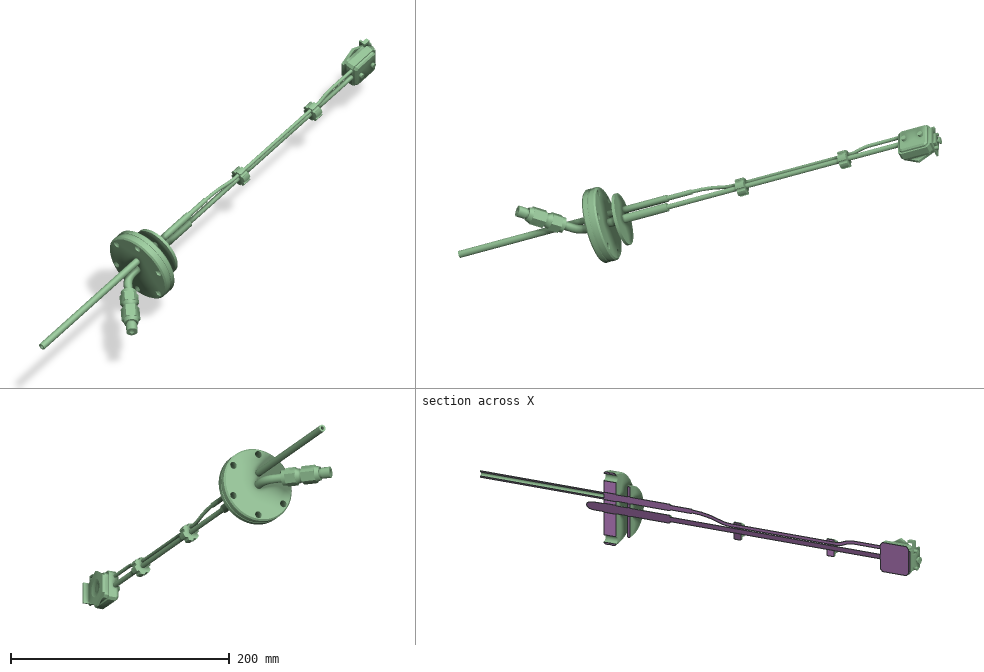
import cadquery as cq
import math

HEX_SIDES = 6

FLANGE_DIAMETER = 69.0
FLANGE_THICKNESS = 13.0
FLANGE_CHAMFER = 1.5
RIM_GROOVE_WIDTH = 2.0
RIM_GROOVE_DEPTH = 0.5
BOLT_COUNT = 6
BOLT_HOLE_DIAMETER = 6.5
BOLT_CIRCLE_DIAMETER = 58.5

SHIELD_DIAMETER = 48.5
SHIELD_THICKNESS = 3.0
SHIELD_START_Y = 25.3

HEAD_END_Y = 297.0
SLEEVE_END_Y = 71.0
CONDUIT_ROD_DIAMETER = 4.5
CONDUIT_SLEEVE_DIAMETER = 8.0
ELBOW_CORNER_Y = -14.0
ELBOW_TANGENT_LENGTH = 8.0
ELBOW_ANGLE = 45

FITTING_START = 17.5
COLLAR_DIAMETER = 14.5
FIRST_HEX_START = 21.0
FIRST_HEX_END = 31.0
FIRST_HEX_TAPER_END = 34.5
SECOND_HEX_START = 36.5
SECOND_HEX_END = 49.5
SECOND_HEX_TAPER_END = 53.5
TIP_START = 55.0
TIP_END = 63.0
HEX_ACROSS_FLATS = 15.0
HEX_TAPER_END_DIAMETER = 12.5
FITTING_NECK_DIAMETER = 12.5
TIP_NECK_DIAMETER = 9.0
TIP_DIAMETER = 10.5
TIP_BORE_DIAMETER = 4.5

AIR_TUBE_Z = 11.0
AIR_TUBE_DIAMETER = 6.5
AIR_BORE_DIAMETER = 3.3
AIR_TUBE_FRONT_Y = -133.0
THIN_TUBE_DIAMETER = 3.3
SOCKET_DIAMETER = 4.65
SOCKET_END_Y = 94.5
LOW_RUN_Z = 4.5
FRONT_BEND_MIDDLE_Y = 124.5
FRONT_BEND_END_Y = 135.5
HEAD_BEND_START_Y = 250.2
HEAD_BEND_MIDDLE_Y = 256.0
HEAD_BEND_END_Y = 270.0
HEAD_RUN_Z = 9.0

CLAMP_CENTRES_Y = (143.5, 243.5)
CLAMP_DIAMETER = 16.5
CLAMP_THICKNESS = 8.0
LOBE_COUNT = 6
NOTCH_DIAMETER = 3.5

HEAD_LENGTH = 30.5
HEAD_HEIGHT = 28.0
HEAD_MIN_X = -6.0
BACK_PLATE_START_X = 1.5
HEAD_MAX_X = 4.5
HEAD_CORNER_CHAMFER = 2.5
BACK_PLATE_INSET = 1.5
BACK_PLATE_CHAMFER = 1.5
FRONT_STEP_THICKNESS = 3.7
FRONT_STEP_INSET = 2.0
COVER_THICKNESS = 3.0
COVER_ACROSS_CORNERS = 33.5
FUNNEL_OUTER_DIAMETER = 17.0
FUNNEL_INNER_DIAMETER = 8.0
FUNNEL_DEPTH = 1.5
SCREW_DIAMETER = 4.5
SCREW_HEIGHT = 3.0
SCREW_SPACING = 16.0

CLIP_MIN_X = -17.5
CLIP_MAX_X = 1.0
CLIP_HEIGHT = 19.5
CLIP_THICKNESS = 2.0
BLOCK_WIDTH = 9.5
BLOCK_HEIGHT = 12.0
BLOCK_THICKNESS = 2.5
PIN_DIAMETER = 3.45
PIN_HEIGHT = 3.5
HOOK_WIDTH = 3.7
HOOK_TOP_Z = 18.0
HOOK_THICKNESS = 2.5
HOOK_REACH = 4.5
KNOB_DIAMETER = 6.5
KNOB_NECK_DIAMETER = 3.5
KNOB_NECK_HEIGHT = 2.0
KNOB_HEAD_HEIGHT = 1.5

HEAD_MIDDLE_Y = HEAD_END_Y + HEAD_LENGTH / 2
HEAD_FAR_Y = HEAD_END_Y + HEAD_LENGTH
CLIP_MIDDLE_X = (CLIP_MIN_X + CLIP_MAX_X) / 2


def rod_y(diameter, start_y, end_y, x=0, z=0):
    """Round rod parallel to Y."""
    plane = cq.Plane(origin=(x, start_y, z), xDir=(1, 0, 0), normal=(0, 1, 0))
    return cq.Workplane(plane).circle(diameter / 2).extrude(end_y - start_y)


def box(min_x, max_x, min_y, max_y, min_z, max_z):
    """Block between opposite corners."""
    size = (max_x - min_x, max_y - min_y, max_z - min_z)
    return cq.Workplane().box(*size, centered=False).translate((min_x, min_y, min_z))


def tube_passages(start_y, end_y):
    """Both holes that let the conduit sleeve and the air tube through a disc."""
    conduit_hole = rod_y(CONDUIT_SLEEVE_DIAMETER, start_y, end_y)
    return conduit_hole.union(rod_y(AIR_TUBE_DIAMETER, start_y, end_y, z=AIR_TUBE_Z))


def make_flange():
    flange = rod_y(FLANGE_DIAMETER, 0, FLANGE_THICKNESS).edges().chamfer(FLANGE_CHAMFER)
    groove_start = (FLANGE_THICKNESS - RIM_GROOVE_WIDTH) / 2
    groove_end = groove_start + RIM_GROOVE_WIDTH
    groove = rod_y(FLANGE_DIAMETER, groove_start, groove_end)
    groove = groove.cut(rod_y(FLANGE_DIAMETER - 2 * RIM_GROOVE_DEPTH, groove_start, groove_end))
    flange = flange.cut(groove)
    for index in range(BOLT_COUNT):
        angle = math.radians(90 + index * 360 / BOLT_COUNT)
        x = BOLT_CIRCLE_DIAMETER / 2 * math.cos(angle)
        z = BOLT_CIRCLE_DIAMETER / 2 * math.sin(angle)
        flange = flange.cut(rod_y(BOLT_HOLE_DIAMETER, 0, FLANGE_THICKNESS, x, z))
    return flange.cut(tube_passages(0, FLANGE_THICKNESS))


def make_shield():
    end_y = SHIELD_START_Y + SHIELD_THICKNESS
    shield = rod_y(SHIELD_DIAMETER, SHIELD_START_Y, end_y)
    return shield.cut(tube_passages(SHIELD_START_Y, end_y))


def make_conduit():
    bend_start_y = ELBOW_CORNER_Y + ELBOW_TANGENT_LENGTH
    angle = math.radians(ELBOW_ANGLE)
    bend_end = (
        ELBOW_TANGENT_LENGTH * math.sin(angle),
        ELBOW_CORNER_Y - ELBOW_TANGENT_LENGTH * math.cos(angle),
    )
    pipe_end = (
        FITTING_START * math.sin(angle),
        ELBOW_CORNER_Y - FITTING_START * math.cos(angle),
    )
    path = (
        cq.Workplane("XY")
        .moveTo(0, SLEEVE_END_Y)
        .lineTo(0, bend_start_y)
        .tangentArcPoint(bend_end, relative=False)
        .lineTo(*pipe_end)
    )
    start = cq.Plane(origin=(0, SLEEVE_END_Y, 0), xDir=(1, 0, 0), normal=(0, -1, 0))
    sleeve = cq.Workplane(start).circle(CONDUIT_SLEEVE_DIAMETER / 2).sweep(path)
    return sleeve.union(rod_y(CONDUIT_ROD_DIAMETER, SLEEVE_END_Y, HEAD_END_Y))


def make_fitting():
    angle = math.radians(ELBOW_ANGLE)
    axis = (math.sin(angle), -math.cos(angle), 0)

    def section_plane(distance):
        origin = (axis[0] * distance, ELBOW_CORNER_Y + axis[1] * distance, 0)
        return cq.Workplane(cq.Plane(origin=origin, xDir=(axis[1], -axis[0], 0), normal=axis))

    def round_section(diameter, start, end):
        return section_plane(start).circle(diameter / 2).extrude(end - start)

    def hex_section(start, end, taper_end):
        corner_diameter = HEX_ACROSS_FLATS / math.cos(math.pi / HEX_SIDES)
        prism = section_plane(start).polygon(HEX_SIDES, corner_diameter).extrude(end - start)
        taper = (
            section_plane(end)
            .circle(HEX_ACROSS_FLATS / 2)
            .workplane(offset=taper_end - end)
            .circle(HEX_TAPER_END_DIAMETER / 2)
            .loft()
        )
        return prism.union(taper)

    return (
        round_section(COLLAR_DIAMETER, FITTING_START, FIRST_HEX_START)
        .union(hex_section(FIRST_HEX_START, FIRST_HEX_END, FIRST_HEX_TAPER_END))
        .union(round_section(FITTING_NECK_DIAMETER, FIRST_HEX_TAPER_END, SECOND_HEX_START))
        .union(hex_section(SECOND_HEX_START, SECOND_HEX_END, SECOND_HEX_TAPER_END))
        .union(round_section(TIP_NECK_DIAMETER, SECOND_HEX_TAPER_END, TIP_START))
        .union(round_section(TIP_DIAMETER, TIP_START, TIP_END))
        .cut(round_section(TIP_BORE_DIAMETER, TIP_START, TIP_END))
    )


def bend_middle_z(start_y, start_z, middle_y, end_y, end_z):
    """Height at which the two equal-angle arcs of an S-bend meet."""
    return start_z + (end_z - start_z) * (middle_y - start_y) / (end_y - start_y)


def make_air_line():
    front_middle_z = bend_middle_z(
        SOCKET_END_Y, AIR_TUBE_Z, FRONT_BEND_MIDDLE_Y, FRONT_BEND_END_Y, LOW_RUN_Z
    )
    head_middle_z = bend_middle_z(
        HEAD_BEND_START_Y, LOW_RUN_Z, HEAD_BEND_MIDDLE_Y, HEAD_BEND_END_Y, HEAD_RUN_Z
    )
    path = (
        cq.Workplane("YZ")
        .moveTo(SLEEVE_END_Y, AIR_TUBE_Z)
        .lineTo(SOCKET_END_Y, AIR_TUBE_Z)
        .tangentArcPoint((FRONT_BEND_MIDDLE_Y, front_middle_z), relative=False)
        .tangentArcPoint((FRONT_BEND_END_Y, LOW_RUN_Z), relative=False)
        .lineTo(HEAD_BEND_START_Y, LOW_RUN_Z)
        .tangentArcPoint((HEAD_BEND_MIDDLE_Y, head_middle_z), relative=False)
        .tangentArcPoint((HEAD_BEND_END_Y, HEAD_RUN_Z), relative=False)
        .lineTo(HEAD_END_Y, HEAD_RUN_Z)
    )
    start = cq.Plane(origin=(0, SLEEVE_END_Y, AIR_TUBE_Z), xDir=(1, 0, 0), normal=(0, 1, 0))
    thin_tube = cq.Workplane(start).circle(THIN_TUBE_DIAMETER / 2).sweep(path)
    wide_tube = rod_y(AIR_TUBE_DIAMETER, AIR_TUBE_FRONT_Y, SLEEVE_END_Y, z=AIR_TUBE_Z)
    bore = rod_y(AIR_BORE_DIAMETER, AIR_TUBE_FRONT_Y, 0, z=AIR_TUBE_Z)
    socket = rod_y(SOCKET_DIAMETER, SLEEVE_END_Y, SOCKET_END_Y, z=AIR_TUBE_Z)
    return wide_tube.cut(bore).union(socket).union(thin_tube)


def make_clamp(centre_y, air_line):
    """Six-lobed disc with a hole for the conduit rod and one for the thin air tube."""
    start_y = centre_y - CLAMP_THICKNESS / 2
    end_y = centre_y + CLAMP_THICKNESS / 2
    clamp = rod_y(CLAMP_DIAMETER, start_y, end_y)
    for index in range(LOBE_COUNT):
        angle = math.radians(index * 360 / LOBE_COUNT)
        x = CLAMP_DIAMETER / 2 * math.cos(angle)
        z = CLAMP_DIAMETER / 2 * math.sin(angle)
        clamp = clamp.cut(rod_y(NOTCH_DIAMETER, start_y, end_y, x, z))
    return clamp.cut(rod_y(CONDUIT_ROD_DIAMETER, start_y, end_y)).cut(air_line)


def head_slab(min_x, max_x, inset):
    """Layer of the head with cut corners, smaller than the housing by the inset on every side."""
    half_height = HEAD_HEIGHT / 2 - inset
    slab = box(min_x, max_x, HEAD_END_Y + inset, HEAD_FAR_Y - inset, -half_height, half_height)
    return slab.edges("|X").chamfer(HEAD_CORNER_CHAMFER)


def make_head():
    housing = head_slab(HEAD_MIN_X, BACK_PLATE_START_X, 0)
    back_plate = head_slab(BACK_PLATE_START_X, HEAD_MAX_X, BACK_PLATE_INSET)
    back_plate = back_plate.faces(">X").edges().chamfer(BACK_PLATE_CHAMFER)
    cover_start_x = HEAD_MIN_X - FRONT_STEP_THICKNESS
    front_step = head_slab(cover_start_x, HEAD_MIN_X, FRONT_STEP_INSET)
    cover_plane = cq.Plane(
        origin=(cover_start_x, HEAD_MIDDLE_Y, 0), xDir=(0, 0, 1), normal=(-1, 0, 0)
    )
    cover = cq.Workplane(cover_plane).polygon(HEX_SIDES, COVER_ACROSS_CORNERS).extrude(COVER_THICKNESS)
    funnel = (
        cq.Workplane(cover_plane)
        .workplane(offset=COVER_THICKNESS)
        .circle(FUNNEL_OUTER_DIAMETER / 2)
        .workplane(offset=-FUNNEL_DEPTH)
        .circle(FUNNEL_INNER_DIAMETER / 2)
        .loft()
    )
    screws = (
        cq.Workplane("YZ", origin=(HEAD_MAX_X, HEAD_MIDDLE_Y, 0))
        .pushPoints([(-SCREW_SPACING / 2, 0), (SCREW_SPACING / 2, 0)])
        .circle(SCREW_DIAMETER / 2)
        .extrude(SCREW_HEIGHT)
    )
    return housing.union(back_plate).union(front_step).union(cover).cut(funnel).union(screws)


def make_clip():
    plate_far_y = HEAD_FAR_Y + CLIP_THICKNESS
    block_far_y = plate_far_y + BLOCK_THICKNESS
    knob_neck_far_y = block_far_y + KNOB_NECK_HEIGHT
    block_min_x = CLIP_MIDDLE_X - BLOCK_WIDTH / 2
    block_max_x = CLIP_MIDDLE_X + BLOCK_WIDTH / 2
    hook_min_x = CLIP_MIDDLE_X - HOOK_WIDTH / 2
    hook_max_x = CLIP_MIDDLE_X + HOOK_WIDTH / 2
    half_height = CLIP_HEIGHT / 2

    clip = box(CLIP_MIN_X, CLIP_MAX_X, HEAD_FAR_Y, plate_far_y, -half_height, half_height)
    clip = clip.union(
        box(block_min_x, block_max_x, plate_far_y, block_far_y, -BLOCK_HEIGHT / 2, BLOCK_HEIGHT / 2)
    )
    pin_z = half_height - PIN_DIAMETER / 2
    for z in (-pin_z, pin_z):
        pin_far_y = plate_far_y + PIN_HEIGHT
        clip = clip.union(rod_y(PIN_DIAMETER, plate_far_y, pin_far_y, CLIP_MIDDLE_X, z))
    clip = clip.union(box(hook_min_x, hook_max_x, HEAD_FAR_Y, plate_far_y, half_height, HOOK_TOP_Z))
    clip = clip.union(
        box(
            hook_min_x,
            hook_max_x,
            HEAD_FAR_Y - HOOK_REACH,
            HEAD_FAR_Y,
            HOOK_TOP_Z - HOOK_THICKNESS,
            HOOK_TOP_Z,
        )
    )
    knob_neck = rod_y(KNOB_NECK_DIAMETER, block_far_y, knob_neck_far_y, CLIP_MIDDLE_X)
    knob_far_y = knob_neck_far_y + KNOB_HEAD_HEIGHT
    knob_head = rod_y(KNOB_DIAMETER, knob_neck_far_y, knob_far_y, CLIP_MIDDLE_X)
    return clip.union(knob_neck).union(knob_head)


flange = make_flange()
shield = make_shield()
conduit = make_conduit()
fitting = make_fitting()
air_line = make_air_line()
clamps = [make_clamp(centre_y, air_line) for centre_y in CLAMP_CENTRES_Y]
head = make_head()
clip = make_clip()

result = cq.Compound.makeCompound(
    [
        flange.val(),
        shield.val(),
        conduit.val(),
        fitting.val(),
        air_line.val(),
        *[clamp.val() for clamp in clamps],
        head.val(),
        clip.val(),
    ]
)